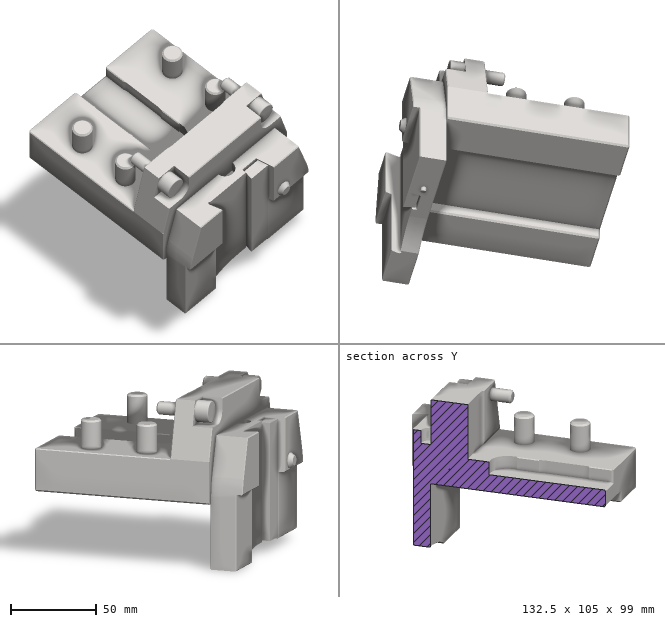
import cadquery as cq
import math

TOTAL_LENGTH = 132.5
BASE_LENGTH = 109.5
BASE_WIDTH = 105.0
BASE_HEIGHT = 25.7
TOP_Z = 59.9
BOTTOM_Z = -39.1
EDGE_CHAMFER = 1.0
FINE_CHAMFER = 0.5

CHANNEL_WIDTH = 52.2
CHANNEL_HEIGHT = 6.9

SLOT_END_X = 72.9
SLOT_DEPTH = 8.0
SLOT_HALF_WIDTH = 13.0
SLOT_CORNER_RADIUS = 10.6
PAD_HALF_WIDTH = 12.5
FRONT_PAD_END_X = 15.1
FRONT_RUNOUT = 2.8
REAR_PAD_START_X = 46.1
REAR_PAD_END_X = 59.9
REAR_RUNOUT = 4.1

PIN_DIAMETER = 12.0
PIN_TOP_Z = 42.9
PIN_XS = (30.1, 65.0)
BOLT_ROW_Y = 38.0

WALL_FRONT_X = 85.0
WALL_TOP_HALF_WIDTH = 43.3
RELIEF_DEPTH = 1.0
RELIEF_HALF_WIDTH = 25.2
RELIEF_FLOOR_HALF_WIDTH = 20.4
UNDERCUT_HEIGHT = 1.7

SCREW_Z = 52.7
SCREW_SHAFT_DIAMETER = 8.0
SCREW_TIP_X = 72.2
SCREW_HEAD_DIAMETER = 13.0
SCREW_HEAD_X = 97.3
SCREW_HEAD_LENGTH = 8.5
SEAT_RADIUS = 7.5

PLATE_HALF_WIDTH = 50.2
PLATE_TOP_HALF_WIDTH = 41.5
PLATE_BACK_X = 129.6
PLATE_TOP_Z = 39.8
PLATE_SHORT_Z = -33.0
PLATE_BEND_TOP_Z = 16.5
PLATE_BEND_BOTTOM_Z = 4.9
PLATE_CURVE_END_Y = -23.5
STEP_X = 125.6
STEP_Z = 6.9
NOTCH_DIAMETER = 12.0
NOTCH_DEPTH = 8.0

RECESS_FLOOR_X = 120.5
POCKET_FLOOR_X = 117.5
POCKET_EDGE_Y = 6.1
RECESS_UPPER_Y = 17.9
RECESS_MOUTH_UPPER_Y = 20.3
RECESS_LOWER_Y = -23.8
RECESS_MOUTH_LOWER_Y = -23.2
RECESS_CORNER_RELIEF = 0.9
JAW_FRONT_X = 118.6
JAW_BACK_X = 125.5
JAW_FRONT_Y = 6.9
JAW_BACK_Y = 5.5
JAW_INSET = 1.0
JAW_SCREW_DIAMETER = 5.0
JAW_SCREW_Y = 12.7

BUTTON_DIAMETER = 9.3
BUTTON_END_DIAMETER = 6.0
BUTTON_RIM = 0.5
BUTTON_Y = 28.0
BUTTON_Z = 12.5
STUD_DIAMETER = 3.3
STUD_Y = 24.4
STUD_TILT = 20.0
STUD_LENGTH = 2.0
STUD_ROOT = 4.0


def x_cylinder(start_x, end_x, diameter, y, z):
    """Cylinder along X between two stations."""
    section = cq.Workplane("YZ", origin=(start_x, y, z)).circle(diameter / 2)
    return section.extrude(end_x - start_x)


def base_block():
    channel = cq.Workplane("XY").box(
        BASE_LENGTH, CHANNEL_WIDTH, CHANNEL_HEIGHT, centered=(False, True, False)
    )
    body = cq.Workplane("XY").box(BASE_LENGTH, BASE_WIDTH, BASE_HEIGHT, centered=(False, True, False))
    body = body.cut(channel)
    front_edges = body.faces("<X").edges("not >Z")
    body = front_edges.add(body.faces("<Z").edges("|X")).chamfer(EDGE_CHAMFER)
    return body.faces(">Z").edges("not >X").chamfer(FINE_CHAMFER)


def runout_point(start_x, start_y, end_x, end_y):
    """Point halfway along an arc that ends tangent to X at (end_x, end_y)."""
    run = end_x - start_x
    half_run = run / 2
    full_rise = start_y - end_y
    radius = (run**2 + full_rise**2) / (2 * abs(full_rise))
    sagitta = radius - math.sqrt(radius**2 - half_run**2)
    return (end_x - half_run, end_y + math.copysign(sagitta, full_rise))


def slot():
    floor_z = BASE_HEIGHT - SLOT_DEPTH
    front_wide_x = FRONT_PAD_END_X + FRONT_RUNOUT
    rear_wide_x = REAR_PAD_START_X - REAR_RUNOUT
    front_bend = runout_point(FRONT_PAD_END_X, PAD_HALF_WIDTH, front_wide_x, SLOT_HALF_WIDTH)
    rear_bend = runout_point(REAR_PAD_START_X, PAD_HALF_WIDTH, rear_wide_x, SLOT_HALF_WIDTH)
    half = (
        cq.Workplane("XY", origin=(0, 0, floor_z))
        .lineTo(0, PAD_HALF_WIDTH)
        .lineTo(FRONT_PAD_END_X, PAD_HALF_WIDTH)
        .threePointArc(front_bend, (front_wide_x, SLOT_HALF_WIDTH))
        .lineTo(rear_wide_x, SLOT_HALF_WIDTH)
        .threePointArc(rear_bend, (REAR_PAD_START_X, PAD_HALF_WIDTH))
        .lineTo(REAR_PAD_END_X, PAD_HALF_WIDTH)
        .lineTo(REAR_PAD_END_X, SLOT_HALF_WIDTH)
        .lineTo(SLOT_END_X - SLOT_CORNER_RADIUS, SLOT_HALF_WIDTH)
        .radiusArc((SLOT_END_X, SLOT_HALF_WIDTH - SLOT_CORNER_RADIUS), SLOT_CORNER_RADIUS)
        .lineTo(SLOT_END_X, 0)
        .close()
        .extrude(SLOT_DEPTH)
    )
    return half.union(half.mirror("XZ"))


def slot_edge_flares():
    """Bevels at the slot mouth and along the tops of the guide pads."""
    mouth_height = 2 * (SLOT_DEPTH + EDGE_CHAMFER)
    flares = (
        cq.Workplane("YZ", origin=(0, 0, BASE_HEIGHT))
        .rect(2 * (PAD_HALF_WIDTH + EDGE_CHAMFER), mouth_height)
        .extrude(EDGE_CHAMFER, taper=45)
    )
    for start_x, end_x in ((0, FRONT_PAD_END_X), (REAR_PAD_START_X, REAR_PAD_END_X)):
        bevel = (
            cq.Workplane("YZ", origin=(start_x, 0, BASE_HEIGHT))
            .moveTo(-PAD_HALF_WIDTH - FINE_CHAMFER, 0)
            .lineTo(PAD_HALF_WIDTH + FINE_CHAMFER, 0)
            .lineTo(PAD_HALF_WIDTH, -FINE_CHAMFER)
            .lineTo(-PAD_HALF_WIDTH, -FINE_CHAMFER)
            .close()
            .extrude(end_x - start_x)
        )
        flares = flares.union(bevel)
    return flares


def upright_pins():
    spots = [(x, side * BOLT_ROW_Y) for x in PIN_XS for side in (-1, 1)]
    pins = (
        cq.Workplane("XY", origin=(0, 0, BASE_HEIGHT))
        .pushPoints(spots)
        .circle(PIN_DIAMETER / 2)
        .extrude(PIN_TOP_Z - BASE_HEIGHT)
    )
    return pins.faces(">Z").edges().chamfer(EDGE_CHAMFER)


def wall_relief():
    """Shallow relief down the middle of the wall front, run out by arcs at both sides."""
    floor_x = WALL_FRONT_X + RELIEF_DEPTH
    run = RELIEF_HALF_WIDTH - RELIEF_FLOOR_HALF_WIDTH
    radius = (run**2 + RELIEF_DEPTH**2) / (2 * RELIEF_DEPTH)
    return (
        cq.Workplane("XY", origin=(0, 0, BASE_HEIGHT))
        .moveTo(WALL_FRONT_X, -RELIEF_HALF_WIDTH)
        .radiusArc((floor_x, -RELIEF_FLOOR_HALF_WIDTH), -radius)
        .lineTo(floor_x, RELIEF_FLOOR_HALF_WIDTH)
        .radiusArc((WALL_FRONT_X, RELIEF_HALF_WIDTH), -radius)
        .close()
        .extrude(TOP_Z - BASE_HEIGHT)
    )


def wall_undercut():
    """Sloped undercut where the wall front meets the base."""
    return (
        cq.Workplane("XZ", origin=(0, BASE_WIDTH / 2, 0))
        .moveTo(WALL_FRONT_X, BASE_HEIGHT)
        .lineTo(WALL_FRONT_X + FINE_CHAMFER, BASE_HEIGHT)
        .lineTo(WALL_FRONT_X, BASE_HEIGHT + UNDERCUT_HEIGHT)
        .close()
        .extrude(BASE_WIDTH)
    )


def screw_seat():
    """Seat for a screw head on the +Y side, open to the rear, the top and the side."""
    width = BASE_WIDTH / 2 - BOLT_ROW_Y + SEAT_RADIUS
    seat = cq.Workplane("XY").box(
        BASE_LENGTH - SCREW_HEAD_X, width, TOP_Z - SCREW_Z + SEAT_RADIUS, centered=False
    )
    seat = seat.edges("|X and <Y and <Z").fillet(SEAT_RADIUS)
    return seat.translate((SCREW_HEAD_X, BOLT_ROW_Y - SEAT_RADIUS, SCREW_Z - SEAT_RADIUS))


def wall():
    base_half_width = BASE_WIDTH / 2
    body = (
        cq.Workplane("YZ", origin=(WALL_FRONT_X, 0, 0))
        .moveTo(-base_half_width, BASE_HEIGHT)
        .lineTo(base_half_width, BASE_HEIGHT)
        .lineTo(WALL_TOP_HALF_WIDTH, TOP_Z)
        .lineTo(-WALL_TOP_HALF_WIDTH, TOP_Z)
        .close()
        .extrude(BASE_LENGTH - WALL_FRONT_X)
    )
    body = body.faces("<X or >X").edges("not <Z").chamfer(FINE_CHAMFER)
    foot_height = 2 * FINE_CHAMFER
    foot = cq.Workplane("XY").box(
        BASE_LENGTH - WALL_FRONT_X, BASE_WIDTH, foot_height, centered=(False, True, False)
    )
    body = body.union(foot.translate((WALL_FRONT_X, 0, BASE_HEIGHT - foot_height)))
    seat = screw_seat()
    return body.cut(wall_relief()).cut(wall_undercut()).cut(seat).cut(seat.mirror("XZ"))


def cap_screw(y):
    shaft = x_cylinder(SCREW_TIP_X, SCREW_HEAD_X, SCREW_SHAFT_DIAMETER, y, SCREW_Z)
    shaft = shaft.faces("<X").edges().chamfer(EDGE_CHAMFER)
    head_end_x = SCREW_HEAD_X + SCREW_HEAD_LENGTH
    head = x_cylinder(SCREW_HEAD_X, head_end_x, SCREW_HEAD_DIAMETER, y, SCREW_Z)
    return shaft.union(head.faces(">X").edges().fillet(FINE_CHAMFER))


def rear_plate_blank():
    """Plate with leaning shoulders and a lower edge that curves down to a deeper -Y side."""
    drop = PLATE_SHORT_Z - BOTTOM_Z
    curve_radius = (PLATE_CURVE_END_Y**2 + drop**2) / (2 * drop)
    bend_length = (PLATE_BEND_TOP_Z - PLATE_BEND_BOTTOM_Z) / 2
    bend_z = PLATE_BEND_BOTTOM_Z + bend_length
    lean = math.atan((PLATE_HALF_WIDTH - PLATE_TOP_HALF_WIDTH) / (PLATE_TOP_Z - bend_z))
    bend_radius = bend_length / math.tan(lean / 2)
    body = (
        cq.Workplane("YZ", origin=(BASE_LENGTH, 0, 0))
        .moveTo(PLATE_TOP_HALF_WIDTH, PLATE_TOP_Z)
        .lineTo(PLATE_HALF_WIDTH, bend_z)
        .lineTo(PLATE_HALF_WIDTH, PLATE_SHORT_Z)
        .lineTo(0, PLATE_SHORT_Z)
        .radiusArc((PLATE_CURVE_END_Y, BOTTOM_Z), -curve_radius)
        .lineTo(-PLATE_HALF_WIDTH, BOTTOM_Z)
        .lineTo(-PLATE_HALF_WIDTH, bend_z)
        .lineTo(-PLATE_TOP_HALF_WIDTH, PLATE_TOP_Z)
        .close()
        .extrude(PLATE_BACK_X - BASE_LENGTH)
    )
    bend_edges = cq.selectors.BoxSelector(
        (BASE_LENGTH, -BASE_WIDTH, PLATE_BEND_BOTTOM_Z), (PLATE_BACK_X, BASE_WIDTH, PLATE_BEND_TOP_Z)
    )
    body = body.edges("|X").edges(bend_edges).fillet(bend_radius)
    step = cq.Workplane("XY").box(
        PLATE_BACK_X - STEP_X, BASE_WIDTH, STEP_Z - BOTTOM_Z, centered=(False, True, False)
    )
    body = body.cut(step.translate((STEP_X, 0, BOTTOM_Z)))
    step_edges = body.faces(">X[-2]").edges("not >Z")
    return body.faces("<X or >X").edges().add(step_edges).chamfer(FINE_CHAMFER)


def upright_prism(points, bottom_z, top_z):
    """Prism of an XY outline between two heights."""
    outline = cq.Workplane("XY", origin=(0, 0, bottom_z)).polyline(points).close()
    return outline.extrude(top_z - bottom_z)


def dovetail_recess():
    relief = RECESS_CORNER_RELIEF
    return upright_prism(
        [
            (PLATE_BACK_X, RECESS_MOUTH_UPPER_Y),
            (POCKET_FLOOR_X, RECESS_UPPER_Y),
            (POCKET_FLOOR_X, POCKET_EDGE_Y),
            (RECESS_FLOOR_X, POCKET_EDGE_Y),
            (RECESS_FLOOR_X, RECESS_LOWER_Y),
            (RECESS_FLOOR_X - relief, RECESS_LOWER_Y - relief),
            (RECESS_FLOOR_X + relief / 2, RECESS_LOWER_Y - 2 * relief),
            (PLATE_BACK_X, RECESS_MOUTH_LOWER_Y),
        ],
        BOTTOM_Z,
        PLATE_TOP_Z,
    )


def clamp_jaw():
    flank_slope = (RECESS_MOUTH_UPPER_Y - RECESS_UPPER_Y) / (PLATE_BACK_X - POCKET_FLOOR_X)

    def flank_y(x):
        return RECESS_UPPER_Y + flank_slope * (x - POCKET_FLOOR_X)

    jaw = upright_prism(
        [
            (JAW_FRONT_X, flank_y(JAW_FRONT_X)),
            (JAW_BACK_X, flank_y(JAW_BACK_X)),
            (JAW_BACK_X, JAW_BACK_Y),
            (JAW_FRONT_X, JAW_FRONT_Y),
        ],
        PLATE_SHORT_Z + JAW_INSET,
        PLATE_TOP_Z - JAW_INSET,
    )
    screw = x_cylinder(POCKET_FLOOR_X, JAW_FRONT_X, JAW_SCREW_DIAMETER, JAW_SCREW_Y, BUTTON_Z)
    return jaw.union(screw)


def rear_plate():
    notch = (
        cq.Workplane("XY", origin=(BASE_LENGTH, 0, PLATE_TOP_Z - NOTCH_DEPTH))
        .circle(NOTCH_DIAMETER / 2)
        .extrude(NOTCH_DEPTH)
    )
    return rear_plate_blank().cut(dovetail_recess()).cut(notch).union(clamp_jaw())


def button_screw():
    cone_height = TOTAL_LENGTH - PLATE_BACK_X - BUTTON_RIM
    flare = (BUTTON_DIAMETER - BUTTON_END_DIAMETER) / 2
    button = x_cylinder(PLATE_BACK_X, TOTAL_LENGTH, BUTTON_DIAMETER, BUTTON_Y, BUTTON_Z)
    return button.faces(">X").edges().chamfer(cone_height, flare)


def tilted_stud():
    middle_x = (BASE_LENGTH + STEP_X) / 2
    stud = cq.Workplane("XY").circle(STUD_DIAMETER / 2).extrude(-STUD_LENGTH - STUD_ROOT)
    stud = stud.translate((0, 0, STUD_ROOT)).rotate((0, 0, 0), (1, 0, 0), -STUD_TILT)
    return stud.translate((middle_x, STUD_Y, PLATE_SHORT_Z))


base = base_block().cut(slot()).cut(slot_edge_flares()).union(upright_pins())
result = base.union(wall()).union(rear_plate()).union(button_screw()).union(tilted_stud())
for side in (-1, 1):
    result = result.union(cap_screw(side * BOLT_ROW_Y))